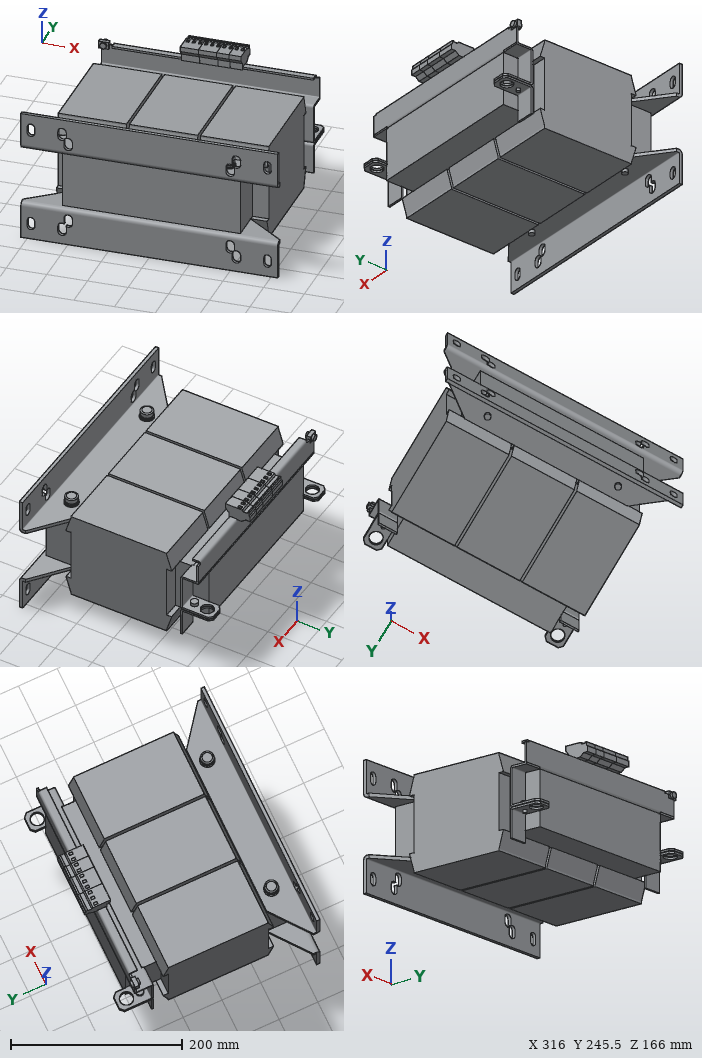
import cadquery as cq
import math


leg_pitch = 87.5
leg_width = 44.0
core_width = 2 * leg_pitch + leg_width
core_half_width = core_width / 2
core_front = 8.0
core_depth = 220.0
core_back = core_front + core_depth
core_height = 71.0
core_top = core_height / 2
yoke_depth = leg_width
window_depth = core_depth - 2 * yoke_depth
window_width = leg_pitch - leg_width
core_mid_y = core_front + core_depth / 2

coil_width = 84.2
coil_depth = 129.4
coil_height = 120.6
coil_mid_y = 117.7
flare_reach = 6.5
flare_rim = 2.5
flare_lip = 1.0

bracket_length = 316.0
bracket_back_length = core_width
bracket_sheet = 4.5
bracket_height = 82.0
bracket_back = 46.0
bracket_taper_start = 8.5
bracket_bend_radius = 5.6

outer_slot_width, outer_slot_length = 9.0, 16.0
outer_slot_x, outer_slot_z = 145.5, 61.8
key_slot_width, key_slot_length = 10.5, 16.0
key_slot_outer_x, key_slot_outer_z = 107.2, 62.8
key_slot_inner_x, key_slot_inner_z = 99.7, 50.8

bolt_y = 29.5
bolt_diameter = 8.0
bolt_tail = 4.5
washer_diameter, washer_thickness = 18.0, 1.5
spring_washer_diameter, spring_washer_thickness = 15.0, 2.3
bolt_head_diameter, bolt_head_height = 16.0, 6.6
bolt_head_bevel_width, bolt_head_bevel_height = 2.0, 0.8

sheet = 2.5
sheet_bend_radius = 3.5
sheet_half_width = 134.2
cheek_front = 203.7
cheek_bottom = -51.0
ear_joint_z = -12.6
ear_gap = 0.8
ear_tip = 245.5
ear_chamfer = 4.5
ear_hole_diameter = 16.5
ear_hole_y = 232.7
ear_width = sheet_half_width - core_half_width
ear_mid_x = core_half_width + ear_width / 2

lip_left, lip_right = -118.5, 129.5
lip_front = 217.0
lip_top = 67.0

ear_screw_y = 215.5
ear_screw_diameter = 5.0
ear_screw_tail = 3.5
ear_screw_head_diameter, ear_screw_head_height = 9.5, 4.5

earth_x, earth_z = -130.7, 63.3
earth_screw_diameter = 8.0
earth_screw_front, earth_screw_back = 220.5, 231.5
earth_clamp_width, earth_clamp_height = 12.5, 9.0
earth_clamp_front, earth_clamp_back = 223.0, 228.5

pole_pitch = 7.5
poles_per_block = (3, 3, 2, 2)
terminal_left = -32.5
block_gap = 0.1
terminal_top = 84.0
terminal_front = 210.8
nose_bottom = 78.0
skirt_front, skirt_back = 215.5, 220.5
skirt_top, skirt_bottom = 72.3, 63.9
terminal_seat = 66.0
seat_back = 233.0
top_edge, top_edge_foot = 233.6, 235.3
ridge_front, ridge_back = 240.4, 242.7
ridge_top, ridge_foot = 83.0, 81.8
heel_back, heel_front = 244.2, 238.3
heel_shoulder, heel_top, heel_bottom = 78.5, 77.4, 70.5
wire_pocket_width, wire_pocket_length, wire_pocket_depth = 3.0, 4.5, 1.0
wire_pocket_y = 228.6


def box(x_range, y_range, z_range):
    """Block between the given limits on each axis."""
    size = [high - low for low, high in (x_range, y_range, z_range)]
    corner = (x_range[0], y_range[0], z_range[0])
    return cq.Workplane("XY").box(*size, centered=False).translate(corner)


def cylinder_z(x, y, z_bottom, z_top, diameter):
    """Upright cylinder between two heights."""
    return cq.Workplane("XY", origin=(x, y, z_bottom)).circle(diameter / 2).extrude(z_top - z_bottom)


def prism_x(outline, x_left, x_right):
    """Closed (y, z) outline extruded along X."""
    return cq.Workplane("YZ").polyline(outline).close().extrude(x_right - x_left).translate((x_left, 0, 0))


def angle_x(corner, arm_y, arm_z, thickness, bend_radius, x_left, x_right):
    """Bent L section along X; the signed arms run from the (y, z) corner that its outer faces share."""
    y, z = corner
    side_y = math.copysign(1, arm_y)
    side_z = math.copysign(1, arm_z)
    bend_y = y + side_y * bend_radius
    bend_z = z + side_z * bend_radius
    inner_radius = bend_radius - thickness
    diagonal = math.cos(math.radians(45))

    def bend_middle(radius):
        return (bend_y - side_y * radius * diagonal, bend_z - side_z * radius * diagonal)

    section = (
        cq.Workplane("YZ")
        .moveTo(y, z + arm_z)
        .lineTo(y, bend_z)
        .threePointArc(bend_middle(bend_radius), (bend_y, z))
        .lineTo(y + arm_y, z)
        .lineTo(y + arm_y, z + side_z * thickness)
        .lineTo(bend_y, z + side_z * thickness)
        .threePointArc(bend_middle(inner_radius), (y + side_y * thickness, bend_z))
        .lineTo(y + side_y * thickness, z + arm_z)
        .close()
    )
    return section.extrude(x_right - x_left).translate((x_left, 0, 0))


def make_core():
    """Block with the two windows between its legs."""
    core = box((-core_half_width, core_half_width), (core_front, core_back), (-core_top, core_top))
    for side in (-1, 1):
        window = cq.Workplane("XY").box(window_width, window_depth, core_height)
        core = core.cut(window.translate((side * leg_pitch / 2, core_mid_y, 0)))
    return core


def make_coil(x):
    """Coil around one leg; above and below the core its end flanges flare out over the yokes."""
    half_depth = coil_depth / 2
    half_height = coil_height / 2
    flare_outline = [
        (coil_mid_y - half_depth, half_height),
        (coil_mid_y + half_depth, half_height),
        (coil_mid_y + half_depth, half_height - flare_rim),
        (coil_mid_y + half_depth + flare_reach, core_top + flare_lip),
        (coil_mid_y + half_depth + flare_reach, core_top),
        (coil_mid_y - half_depth - flare_reach, core_top),
        (coil_mid_y - half_depth - flare_reach, core_top + flare_lip),
        (coil_mid_y - half_depth, half_height - flare_rim),
    ]
    x_limits = (x - coil_width / 2, x + coil_width / 2)
    body = box(x_limits, (coil_mid_y - half_depth, coil_mid_y + half_depth), (-core_top, core_top))
    flare = prism_x(flare_outline, *x_limits)
    return body.union(flare).union(flare.mirror("XY"))


def slot_cutter(x, z, width, length):
    """Upright slot through the vertical flange of a base bracket."""
    cutter = cq.Workplane("XZ").center(x, z).slot2D(length, width, 90)
    return cutter.extrude(2 * bracket_sheet, both=True)


def make_upper_bracket():
    """Bent base bracket on top of the front yoke, tapered in plan and slotted for mounting."""
    half_length = bracket_length / 2
    half_back = bracket_back_length / 2
    bracket = angle_x(
        (0, core_top), bracket_back, bracket_height - core_top,
        bracket_sheet, bracket_bend_radius, -half_length, half_length,
    )
    plan = [
        (-half_length, 0),
        (half_length, 0),
        (half_length, bracket_taper_start),
        (half_back, bracket_back),
        (-half_back, bracket_back),
        (-half_length, bracket_taper_start),
    ]
    bracket = bracket.intersect(cq.Workplane("XY").polyline(plan).close().extrude(bracket_height))
    for side in (-1, 1):
        outer_slot = slot_cutter(side * outer_slot_x, outer_slot_z, outer_slot_width, outer_slot_length)
        bracket = bracket.cut(outer_slot)
        for x, z in ((key_slot_outer_x, key_slot_outer_z), (key_slot_inner_x, key_slot_inner_z)):
            bracket = bracket.cut(slot_cutter(side * x, z, key_slot_width, key_slot_length))
    return bracket


def make_bracket_bolt(x):
    """Bolt through yoke and brackets, with its washers and head on top."""
    seat = core_top + bracket_sheet
    spring_bottom = seat + washer_thickness
    head_bottom = spring_bottom + spring_washer_thickness
    head_top = head_bottom + bolt_head_height
    head_bevel_base = head_top - bolt_head_bevel_height
    bevel = (
        cq.Workplane("XY")
        .workplane(offset=head_bevel_base)
        .center(x, bolt_y)
        .circle(bolt_head_diameter / 2)
        .workplane(offset=bolt_head_bevel_height)
        .circle(bolt_head_diameter / 2 - bolt_head_bevel_width)
        .loft()
    )
    bolt = cylinder_z(x, bolt_y, -seat - bolt_tail, head_bottom, bolt_diameter)
    bolt = bolt.union(cylinder_z(x, bolt_y, seat, spring_bottom, washer_diameter))
    bolt = bolt.union(cylinder_z(x, bolt_y, spring_bottom, head_bottom, spring_washer_diameter))
    bolt = bolt.union(cylinder_z(x, bolt_y, head_bottom, head_bevel_base, bolt_head_diameter))
    return bolt.union(bevel)


def make_cheek_and_ear(side):
    """Two bent cheeks beside the core whose ears, held by a screw, share the lifting hole."""
    limits = sorted((side * core_half_width, side * sheet_half_width))
    ear_reach = ear_tip - cheek_front
    upper_ear_bottom = ear_joint_z + ear_gap / 2
    lower_ear_top = ear_joint_z - ear_gap / 2
    flange_top = core_top + sheet
    middle_z = (ear_joint_z + core_top) / 2
    upper_bend = angle_x(
        (cheek_front, flange_top), core_back - cheek_front, middle_z - flange_top,
        sheet, sheet_bend_radius, *limits,
    )
    upper_ear = angle_x(
        (cheek_front, upper_ear_bottom), ear_reach, middle_z - upper_ear_bottom,
        sheet, sheet_bend_radius, *limits,
    )
    lower_ear = angle_x(
        (cheek_front, lower_ear_top), ear_reach, cheek_bottom - lower_ear_top,
        sheet, sheet_bend_radius, *limits,
    )
    ears = upper_ear.union(lower_ear).edges("|Z and >Y").chamfer(ear_chamfer)
    ear_x = side * ear_mid_x
    ears = ears.cut(cylinder_z(ear_x, ear_hole_y, cheek_bottom, core_top, ear_hole_diameter))
    head_seat = upper_ear_bottom + sheet
    screw_end = lower_ear_top - sheet - ear_screw_tail
    screw = cylinder_z(ear_x, ear_screw_y, screw_end, head_seat, ear_screw_diameter)
    head_top = head_seat + ear_screw_head_height
    head = cylinder_z(ear_x, ear_screw_y, head_seat, head_top, ear_screw_head_diameter)
    return upper_bend.union(ears).union(screw).union(head)


def make_rail():
    """Sheet lying on the back yoke, rising to the lip that carries the terminals."""
    lip_bend_z = lip_top - sheet_bend_radius
    foot = angle_x(
        (core_back, core_top), cheek_front + sheet_bend_radius - core_back, lip_bend_z - core_top,
        sheet, sheet_bend_radius, -sheet_half_width, sheet_half_width,
    )
    lip = angle_x(
        (core_back, lip_top), lip_front - core_back, lip_bend_z - lip_top - sheet,
        sheet, sheet_bend_radius, lip_left, lip_right,
    )
    return foot.union(lip)


def make_earth_terminal():
    """Screw along Y through a clamp at the upper left corner of the rail."""
    screw = cq.Workplane("XZ").center(earth_x, earth_z).circle(earth_screw_diameter / 2)
    screw = screw.extrude(earth_screw_front - earth_screw_back).translate((0, earth_screw_front, 0))
    clamp = box(
        (earth_x - earth_clamp_width / 2, earth_x + earth_clamp_width / 2),
        (earth_clamp_front, earth_clamp_back),
        (earth_z - earth_clamp_height / 2, earth_z + earth_clamp_height / 2),
    )
    return screw.union(clamp)


def make_terminals():
    """Row of terminal blocks, with a wire pocket at every pole."""
    block_outline = [
        (terminal_front, terminal_top),
        (top_edge, terminal_top),
        (top_edge_foot, ridge_foot),
        (ridge_front, ridge_foot),
        (ridge_front, ridge_top),
        (ridge_back, ridge_top),
        (ridge_back, heel_shoulder),
        (heel_back, heel_top),
        (heel_back, heel_bottom),
        (heel_front, heel_bottom),
        (seat_back, terminal_seat),
        (skirt_back, terminal_seat),
        (skirt_back, skirt_bottom),
        (skirt_front, skirt_bottom),
        (skirt_front, skirt_top),
        (terminal_front, nose_bottom),
    ]
    terminals = cq.Workplane("XY")
    block_left = terminal_left
    last_right = terminal_left + sum(poles_per_block) * pole_pitch
    for poles in poles_per_block:
        block_right = block_left + poles * pole_pitch
        gap = block_gap if block_right < last_right else 0
        terminals = terminals.union(prism_x(block_outline, block_left, block_right - gap))
        block_left = block_right
    for pole in range(sum(poles_per_block)):
        x = terminal_left + (pole + 0.5) * pole_pitch
        pocket = box(
            (x - wire_pocket_width / 2, x + wire_pocket_width / 2),
            (wire_pocket_y - wire_pocket_length / 2, wire_pocket_y + wire_pocket_length / 2),
            (terminal_top - wire_pocket_depth, terminal_top),
        )
        terminals = terminals.cut(pocket)
    return terminals


result = make_core()
for leg in (-1, 0, 1):
    result = result.union(make_coil(leg * leg_pitch))
upper_bracket = make_upper_bracket()
result = result.union(upper_bracket).union(upper_bracket.mirror("XY"))
result = result.union(make_rail())
for side in (-1, 1):
    result = result.union(make_bracket_bolt(side * leg_pitch))
    result = result.union(make_cheek_and_ear(side))
result = result.union(make_earth_terminal()).union(make_terminals())